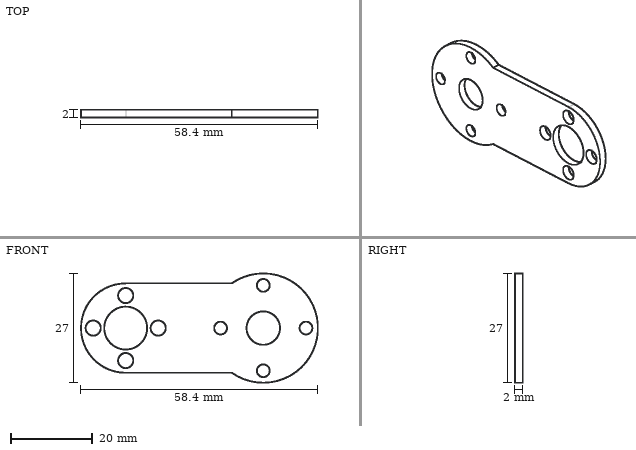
import cadquery as cq

length = 58.35
thickness = 2.0

small_end_radius = 11.0
small_end_bore = 10.5
small_end_bolt_hole = 3.7
small_end_bolt_radius = 8.0

large_end_radius = 13.5
large_end_bore = 8.15
large_end_bolt_hole = 3.1
large_end_bolt_radius = 10.5

center_distance = length - small_end_radius - large_end_radius
small_end_x = -center_distance
large_end_x = 0.0


def disc(x, radius):
    """Disc across the plate thickness, with its axis along Y."""
    return cq.Workplane("XZ").center(x, 0).circle(radius).extrude(thickness)


def hole_pattern(x, bore, bolt_hole, bolt_radius):
    """Cutters for a central bore and four holes evenly spaced around it."""
    bore_cutter = disc(x, bore / 2)
    bolt_cutters = (
        cq.Workplane("XZ")
        .center(x, 0)
        .polarArray(bolt_radius, 0, 360, 4)
        .circle(bolt_hole / 2)
        .extrude(thickness)
    )
    return bore_cutter.union(bolt_cutters)


bar = (
    cq.Workplane("XZ")
    .center((small_end_x + large_end_x) / 2, 0)
    .rect(center_distance, 2 * small_end_radius)
    .extrude(thickness)
)
plate = bar.union(disc(small_end_x, small_end_radius)).union(disc(large_end_x, large_end_radius))

small_end_holes = hole_pattern(small_end_x, small_end_bore, small_end_bolt_hole, small_end_bolt_radius)
large_end_holes = hole_pattern(large_end_x, large_end_bore, large_end_bolt_hole, large_end_bolt_radius)

result = plate.cut(small_end_holes).cut(large_end_holes)